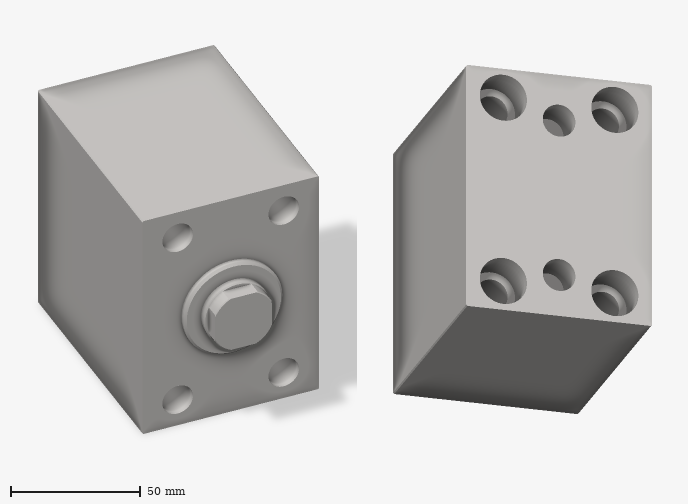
import cadquery as cq

overall_length = 110

housing_length = 98.0
housing_width = 75.0
housing_height = 100.0
housing_edge_chamfer = 0.5

bolt_spacing_y = 45.0
bolt_spacing_z = 76.0
bolt_hole_diameter = 13.0
counterbore_diameter = 19.0
counterbore_depth = 16.0

port_diameter = 13.2
port_depth = 16.0
port_spacing_z = 64.0
port_center_z = -1.0

gland_diameter = 42.0
gland_thickness = 3.0
gland_chamfer = 1.0

shank_diameter = 28.0
shank_length = 6.0
rod_end_diameter = 27.0
rod_end_length = overall_length - housing_length - shank_length
across_flats = 24.0
rod_end_chamfer = 0.38
shank_chamfer = (shank_diameter - rod_end_diameter) / 2


def cylinder(diameter, start_x, length):
    """Cylinder on the X axis, running towards +X from start_x."""
    return cq.Workplane("YZ", origin=(start_x, 0, 0)).circle(diameter / 2).extrude(length)


def make_housing():
    block = cq.Workplane("YZ").rect(housing_width, housing_height).extrude(housing_length)
    block = block.edges("|X").chamfer(housing_edge_chamfer)

    bolt_layout = cq.Workplane("YZ").rect(bolt_spacing_y, bolt_spacing_z, forConstruction=True).vertices()
    bolt_holes = bolt_layout.circle(bolt_hole_diameter / 2).extrude(housing_length)
    counterbores = bolt_layout.circle(counterbore_diameter / 2).extrude(counterbore_depth)

    port_points = [(0, port_center_z + side * port_spacing_z / 2) for side in (-1, 1)]
    ports = cq.Workplane("YZ").pushPoints(port_points).circle(port_diameter / 2).extrude(port_depth)

    return block.cut(bolt_holes).cut(counterbores).cut(ports)


def make_gland():
    ring = cylinder(gland_diameter, housing_length, gland_thickness)
    ring = ring.faces(">X").edges().chamfer(gland_chamfer)
    return ring.cut(cylinder(shank_diameter, housing_length, gland_thickness))


def make_rod():
    shank = cylinder(shank_diameter, housing_length, shank_length)
    shank = shank.faces(">X").edges().chamfer(shank_chamfer)

    end_start = housing_length + shank_length
    rod_end = cylinder(rod_end_diameter, end_start, rod_end_length)
    rod_end = rod_end.faces(">X").edges().chamfer(rod_end_chamfer)
    square = (
        cq.Workplane("YZ", origin=(end_start, 0, 0))
        .rect(across_flats, across_flats)
        .extrude(rod_end_length)
    )
    return shank.union(rod_end.intersect(square))


housing = make_housing()
gland = make_gland()
rod = make_rod()

result = cq.Compound.makeCompound([housing.val(), gland.val(), rod.val()])